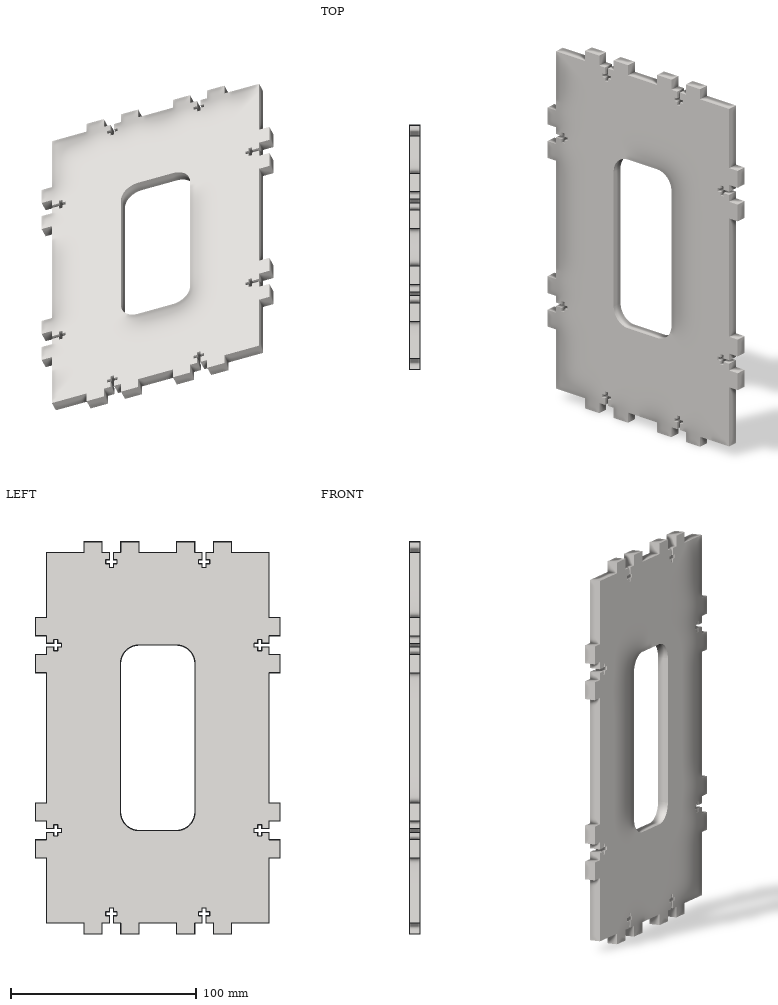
import cadquery as cq

overall_width = 132.0
overall_height = 212.0
thickness = 6.0

tab_length = 6.0
tab_width = 10.0
tab_pitch = 2 * tab_width

plate_width = overall_width - 2 * tab_length
plate_height = overall_height - 2 * tab_length

side_joint_offset = plate_height / 4
end_joint_offset = side_joint_offset / 2

slot_width = 2.0
bar_length = 3 * slot_width
bar_depth = 4.0
slot_depth = bar_depth + 2 * slot_width

window_width = 40.0
window_height = plate_height / 2
window_radius = 10.0


def slab(width, height, y=0, z=0):
    """Full-thickness rectangular block centred at (y, z)."""
    return cq.Workplane("XY").box(thickness, width, height).translate((0, y, z))


def top_tab_pair(edge_z):
    """Two tabs standing on a horizontal edge at height edge_z."""
    tab_z = edge_z + tab_length / 2
    left = slab(tab_width, tab_length, -tab_pitch / 2, tab_z)
    right = slab(tab_width, tab_length, tab_pitch / 2, tab_z)
    return left.add(right).combine()


def top_cross_slot(edge_z):
    """Cross-shaped slot cut down from a horizontal edge at height edge_z."""
    stem = slab(slot_width, slot_depth, z=edge_z - slot_depth / 2)
    bar = slab(bar_length, slot_width, z=edge_z - bar_depth - slot_width / 2)
    return stem.union(bar)


def place_on_edge(shape, offset, edge_angle):
    """Shift a top-edge shape along its edge, then turn it about X onto another edge."""
    return shape.translate((0, offset, 0)).rotate((0, 0, 0), (1, 0, 0), edge_angle)


def window():
    """Central opening with rounded corners."""
    return slab(window_width, window_height).edges("|X").fillet(window_radius)


edges = [
    (0, plate_height / 2, end_joint_offset),
    (180, plate_height / 2, end_joint_offset),
    (90, plate_width / 2, side_joint_offset),
    (-90, plate_width / 2, side_joint_offset),
]

result = slab(plate_width, plate_height).cut(window())

for edge_angle, edge_distance, joint_offset in edges:
    for offset in (-joint_offset, joint_offset):
        result = result.union(place_on_edge(top_tab_pair(edge_distance), offset, edge_angle))
        result = result.cut(place_on_edge(top_cross_slot(edge_distance), offset, edge_angle))